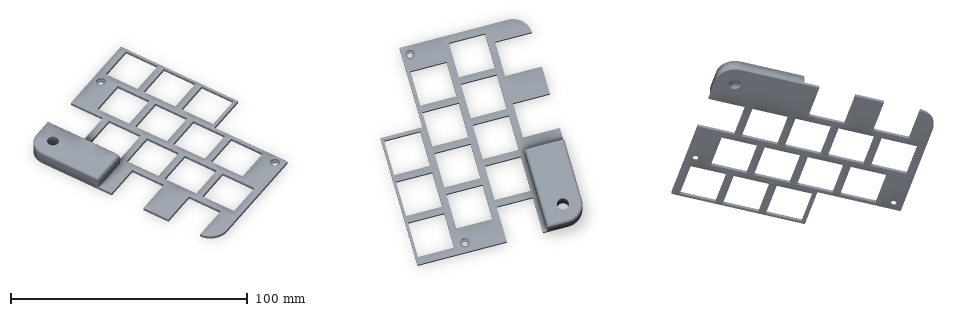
import cadquery as cq

width = 95.62
depth = 74.3
plate_thickness = 1.3
corner_radius = 8.3

step_x = 58.9
step_y = 55.8

key_size = 15.9
key_pitch = 19.0
bottom_row_y = 0.25
lower_row_y = bottom_row_y + key_pitch
middle_row_y = lower_row_y + key_pitch
top_row_y = middle_row_y + key_pitch
top_row_x = 3.4
middle_row_x = 11.4
lower_row_x = 0.3
bottom_row_x = 43.1
bottom_row_pitch = 1.5 * key_pitch
top_row_count = 3
middle_row_count = 4
lower_row_count = 4

screw_inset = 4.1
screw_y = 52.35
screw_hole_diameter = 2.3
counterbore_diameter = 4.2
counterbore_depth = 0.7

block_length = 36.5
block_depth = 17.3
block_top = 6.3
block_corner_radius = 0.9
cap_edge_radius = 1.15
cap_inset = 0.12
cap_corner_radius = 2.0
shoulder_height = block_top - cap_edge_radius
block_hole_diameter = 5.04


def make_plate():
    """Flat stepped plate with its two lower corners rounded."""
    outline = (
        cq.Workplane("XY")
        .polyline([
            (0, 0),
            (width, 0),
            (width, step_y),
            (step_x, step_y),
            (step_x, depth),
            (0, depth),
        ])
        .close()
    )
    plate = outline.extrude(plate_thickness)
    return plate.edges("|Z and <Y").fillet(corner_radius)


def make_key_row(first_x, row_y, count):
    """Cutters for a row of key openings; first_x is the left side of the first."""
    centers = [(first_x + key_size / 2 + i * key_pitch, row_y + key_size / 2) for i in range(count)]
    return (
        cq.Workplane("XY")
        .pushPoints(centers)
        .rect(key_size, key_size)
        .extrude(plate_thickness)
    )


def make_slot(left_x):
    """Cutter for a bottom row opening that runs out through the lower edge."""
    return (
        cq.Workplane("XY", origin=(left_x, 0, 0))
        .box(key_size, bottom_row_y + key_size, plate_thickness, centered=False)
    )


def cut_keys(plate):
    """Three rows of openings and the edge slots; the left end of the lower row is open."""
    open_end_width = lower_row_x + key_size
    open_end = (
        cq.Workplane("XY", origin=(0, lower_row_y, 0))
        .box(open_end_width, key_size, plate_thickness, centered=False)
    )
    return (
        plate
        .cut(make_key_row(top_row_x, top_row_y, top_row_count))
        .cut(make_key_row(middle_row_x, middle_row_y, middle_row_count))
        .cut(make_key_row(lower_row_x + key_pitch, lower_row_y, lower_row_count))
        .cut(open_end)
        .cut(make_slot(bottom_row_x))
        .cut(make_slot(bottom_row_x + bottom_row_pitch))
    )


def cut_screw_holes(plate):
    """Counterbored holes, sunk from the top face of the plate."""
    return (
        plate
        .copyWorkplane(cq.Workplane("XY", origin=(0, 0, plate_thickness)))
        .pushPoints([(screw_inset, screw_y), (width - screw_inset, screw_y)])
        .cboreHole(screw_hole_diameter, counterbore_diameter, counterbore_depth)
    )


def make_rounded_box(length, depth_y, height, inner_corner_radius):
    """Box in the lower left corner of the plate, sharing the plate's rounded corner."""
    box = cq.Workplane("XY").box(length, depth_y, height, centered=False)
    box = box.edges("|Z and <X and <Y").fillet(corner_radius)
    return box.edges("|Z and >X and >Y").fillet(inner_corner_radius)


def make_block():
    """Block flush with the plate edges, under a round-edged cap set in on its two inner sides."""
    body = make_rounded_box(block_length, block_depth, shoulder_height, block_corner_radius)
    cap = make_rounded_box(
        block_length - cap_inset, block_depth - cap_inset, block_top, cap_corner_radius
    )
    cap = cap.faces(">Z").edges().fillet(cap_edge_radius)
    return body.union(cap)


def make_block_hole():
    """Cutter for the hole through block and plate, centred on the rounded corner."""
    return (
        cq.Workplane("XY")
        .center(corner_radius, corner_radius)
        .circle(block_hole_diameter / 2)
        .extrude(block_top)
    )


drilled_plate = cut_screw_holes(cut_keys(make_plate()))
result = drilled_plate.union(make_block()).cut(make_block_hole())